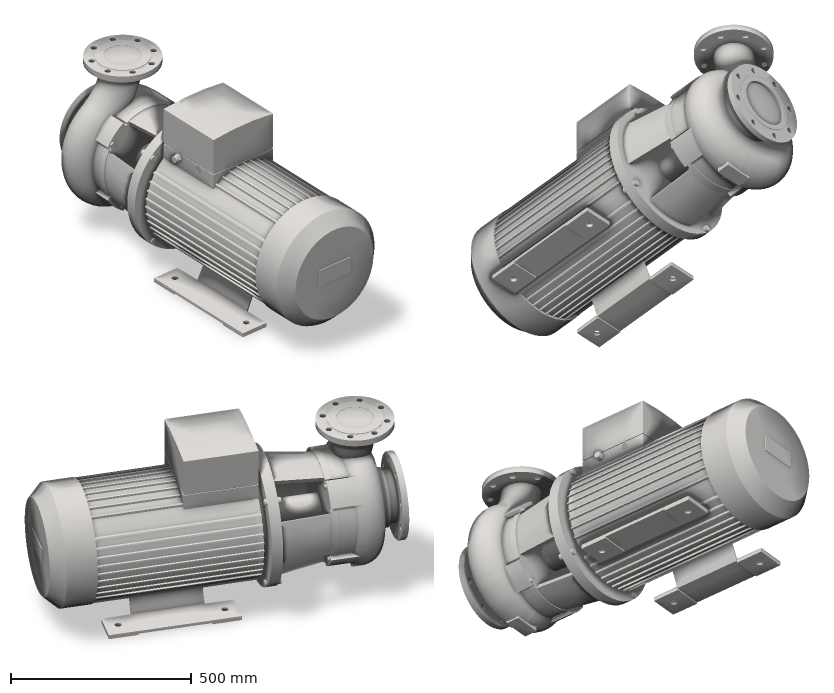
import cadquery as cq
import math


discharge_x = 125.0
stub_start_x = 44.0
ring_start_x = 131.0
cover_start_x = 211.0
cover_end_x = 230.0
bracket_flange_start_x = 381.0
bracket_flange_end_x = 413.0
frame_start_x = 428.0
frame_end_x = 904.0
fan_cover_taper_x = 993.0
fan_cover_end_x = 1032.0
badge_end_x = 1034.0

port_hole_count = 8
port_hole_diameter = 18.0
raised_face_height = 2.0
suction_flange_diameter = 250.0
suction_bolt_circle = 210.0
suction_face_diameter = 169.7
suction_flange_end_x = 20.0
suction_flange_chamfer = 2.0
suction_bore_diameter = 139.7
suction_bore_depth = 8.0
suction_neck_diameter = 149.7
suction_stub_diameter = 169.7
discharge_height = 280.0
discharge_flange_diameter = 220.0
discharge_bolt_circle = 180.0
discharge_face_diameter = 158.0
discharge_flange_thickness = 21.0
discharge_bore_diameter = 107.1
discharge_bore_depth = 1.0

casing_reach = 500.0
tube_radius = 114.3 / 2
outlet_arc_radius = 258.7 / 2
outlet_arc_y = -18.05
tongue_arc_radius = 123.0
tongue_arc_y = -14.0
tongue_arc_z = -6.0
tongue_overlap = 80.0
drain_boss_length = 41.0
drain_boss_width = 82.0
drain_boss_bottom_z = -189.0

ring_gap_radius = 151.0
casing_pad_radius = 155.5
cover_pad_radius = 157.5
pad_half_angle = 28.2
lug_radius = 167.0
lug_half_angle = 14.0

arm_start_radius = 155.0
arm_end_radius = 177.0
arm_thickness = 17.5
arm_half_angle = 25.3
bracket_flange_radius = 200.0
shaft_sleeve_diameter = 80.0

frame_neck_diameter = 276.0
fin_radius = 176.0
core_radius = 170.0
fin_pitch = 24.8
fin_width = 4.0
fins_each_side = 4
fan_cover_radius = 356.0 / 2
fan_cover_end_radius = 141.0
badge_width = 111.0
badge_height = 50.0
badge_z = 6.0

box_length = 214.0
box_width = 216.0
box_bottom_z = 128.5
box_top_z = 298.17
box_crown = 7.0
lid_joint_z = 179.5
lid_joint_height = 4.0
lid_joint_depth = 2.0
gland_diameter = 20.0
gland_x = 493.5
gland_z = 164.0
gland_length = 18.0
gland_nut_diameter = 24.0
gland_nut_length = 10.0
plug_x = 577.5
plug_recess_depth = 2.0

foot_length = 380.0
foot_centre_x = 689.5
foot_outer_y = 203.0
foot_inner_y = 118.0
foot_bottom_z = -200.0
foot_thickness = 13.0
foot_relief_height = 4.0
foot_web_length = 210.0
foot_web_top_y = 93.0
foot_web_top_z = -138.0
foot_web_thickness = 3.0
foot_hole_diameter = 19.0
foot_hole_spacing = 305.0
foot_hole_y = 159.0

cover_screw_y = -127.5
cover_screw_z = 90.5
cover_screw_head_diameter = 13.0
cover_screw_head_height = 6.0
cover_screw_shank_diameter = 8.0
cover_screw_tip_x = 191.0

flange_bolt_offset = 134.5
flange_bolt_diameter = 12.0
flange_bolt_head_diameter = 18.0
flange_bolt_head_height = 9.5
flange_bolt_nut_height = 6.5


def disc(radius, start_x, end_x, y=0.0, z=0.0):
    """Cylinder along X between two stations."""
    return cq.Workplane("YZ", origin=(start_x, y, z)).circle(radius).extrude(end_x - start_x)


def block(x_range, y_range, z_range):
    """Box between two limits on each axis."""
    size = [high - low for low, high in (x_range, y_range, z_range)]
    corner = (x_range[0], y_range[0], z_range[0])
    return cq.Workplane("XY", origin=corner).box(*size, centered=False)


def around_axis(shape):
    """Four copies of a shape turned evenly about the pump axis."""
    return [shape.rotate((0, 0, 0), (1, 0, 0), angle) for angle in (0, 90, 180, 270)]


def sector(radius, half_angle, start_x, end_x):
    """Slice of a disc centred on the +Y direction."""
    reach = 2 * radius
    half_width = reach * math.tan(math.radians(half_angle))
    wedge = (
        cq.Workplane("YZ", origin=(start_x, 0, 0))
        .polyline([(0, 0), (reach, -half_width), (reach, half_width)])
        .close()
        .extrude(end_x - start_x)
    )
    return wedge.intersect(disc(radius, start_x, end_x))


def lugged_ring(pad_radius, start_x, end_x):
    """Disc with four pads in line with the bracket arms and four lugs on the diagonals."""
    ring = disc(ring_gap_radius, start_x, end_x)
    pad = sector(pad_radius, pad_half_angle, start_x, end_x)
    lug = sector(lug_radius, lug_half_angle, start_x, end_x).rotate((0, 0, 0), (1, 0, 0), 45)
    for copy in around_axis(pad) + around_axis(lug):
        ring = ring.union(copy)
    return ring


def y_half(side):
    """Large block on one side of the plane Y = 0 that spans the casing."""
    limits = sorted((0, side * casing_reach))
    return block((0, cover_start_x), limits, (-casing_reach, casing_reach))


def outlet_tube():
    """Volute tube in tangent arcs from below the axis, round the -Y side and up to the discharge."""
    rise = discharge_height
    neck_radius = rise**2 + outlet_arc_y**2 - outlet_arc_radius**2
    neck_radius /= 2 * (outlet_arc_radius - outlet_arc_y)
    neck_y = -neck_radius
    join_angle = math.atan2(rise, neck_y - outlet_arc_y)
    join = (
        outlet_arc_y + outlet_arc_radius * math.cos(join_angle),
        outlet_arc_radius * math.sin(join_angle),
    )
    middle_angle = (join_angle - math.pi) / 2
    neck_middle = (
        neck_y + neck_radius * math.cos(middle_angle),
        rise + neck_radius * math.sin(middle_angle),
    )
    start = (0, -outlet_arc_radius)
    path = (
        cq.Workplane("YZ", origin=(discharge_x, 0, 0))
        .moveTo(*start)
        .lineTo(outlet_arc_y, -outlet_arc_radius)
        .threePointArc((outlet_arc_y - outlet_arc_radius, 0), join)
        .threePointArc(neck_middle, (0, rise))
    )
    profile = cq.Workplane("XZ", origin=(discharge_x, *start)).circle(tube_radius)
    tube = profile.sweep(path)
    flange_middle_z = discharge_height - discharge_flange_thickness / 2
    keep = block((0, cover_start_x), (-casing_reach, casing_reach), (-casing_reach, flange_middle_z))
    return tube.intersect(keep)


def tongue_tube():
    """Tighter volute tube on the +Y side, from below the axis to inside the outlet tube."""
    ring = cq.Workplane("XY").add(
        cq.Solid.makeTorus(
            tongue_arc_radius,
            tube_radius,
            cq.Vector(discharge_x, tongue_arc_y, tongue_arc_z),
            cq.Vector(1, 0, 0),
        )
    )
    overlap = block((0, cover_start_x), (-tongue_overlap, 0), (0, discharge_height))
    return ring.intersect(y_half(1).union(overlap))


def volute_core():
    """Flat-faced filling inside the volute tube's centre line."""
    front_x = discharge_x - tube_radius
    outlet_half = disc(outlet_arc_radius, front_x, cover_start_x, outlet_arc_y)
    tongue_half = disc(tongue_arc_radius, front_x, cover_start_x, tongue_arc_y, tongue_arc_z)
    return outlet_half.intersect(y_half(-1)).union(tongue_half.intersect(y_half(1)))


def suction_port():
    flange = (
        disc(suction_flange_diameter / 2, raised_face_height, suction_flange_end_x)
        .faces(">X")
        .edges()
        .chamfer(suction_flange_chamfer)
        .union(disc(suction_face_diameter / 2, 0, suction_flange_end_x))
        .cut(disc(suction_bore_diameter / 2, 0, suction_bore_depth))
        .cut(
            cq.Workplane("YZ")
            .polarArray(suction_bolt_circle / 2, 180 / port_hole_count, 360, port_hole_count)
            .circle(port_hole_diameter / 2)
            .extrude(suction_flange_end_x)
        )
    )
    neck = disc(suction_neck_diameter / 2, suction_flange_end_x, stub_start_x)
    stub = disc(suction_stub_diameter / 2, stub_start_x, discharge_x)
    return flange.union(neck).union(stub)


def discharge_flange():
    face = cq.Workplane("XY", origin=(discharge_x, 0, discharge_height))
    plate_top = face.workplane(offset=-raised_face_height)
    return (
        plate_top.circle(discharge_flange_diameter / 2)
        .extrude(raised_face_height - discharge_flange_thickness)
        .union(face.circle(discharge_face_diameter / 2).extrude(-discharge_flange_thickness))
        .cut(face.circle(discharge_bore_diameter / 2).extrude(-discharge_bore_depth))
        .cut(
            face.polarArray(discharge_bolt_circle / 2, 180 / port_hole_count, 360, port_hole_count)
            .circle(port_hole_diameter / 2)
            .extrude(-discharge_flange_thickness)
        )
    )


def drain_boss():
    return block(
        (discharge_x - drain_boss_length / 2, discharge_x + drain_boss_length / 2),
        (-drain_boss_width / 2, drain_boss_width / 2),
        (drain_boss_bottom_z, -outlet_arc_radius),
    )


def make_casing():
    return (
        outlet_tube()
        .union(tongue_tube())
        .union(volute_core())
        .union(lugged_ring(casing_pad_radius, ring_start_x, cover_start_x))
        .union(suction_port())
        .union(discharge_flange())
        .union(drain_boss())
    )


def arm_cone(start_radius, end_radius):
    return (
        cq.Workplane("YZ", origin=(cover_end_x, 0, 0))
        .circle(start_radius)
        .workplane(offset=bracket_flange_start_x - cover_end_x)
        .circle(end_radius)
        .loft()
    )


def bracket():
    """Cover, shaft sleeve, four arms cut from a conical shell, and the motor flange."""
    shell = arm_cone(arm_start_radius, arm_end_radius).cut(
        arm_cone(arm_start_radius - arm_thickness, arm_end_radius - arm_thickness)
    )
    arm = shell.intersect(sector(arm_end_radius, arm_half_angle, cover_end_x, bracket_flange_start_x))
    ring = lugged_ring(cover_pad_radius, cover_start_x, cover_end_x)
    sleeve = disc(shaft_sleeve_diameter / 2, cover_end_x, bracket_flange_start_x)
    flange = disc(bracket_flange_radius, bracket_flange_start_x, bracket_flange_end_x)
    body = ring.union(sleeve).union(flange)
    for copy in around_axis(arm):
        body = body.union(copy)
    return body


def motor_frame():
    """Round core with upright fins above and below and level fins on both sides."""
    frame_span = (frame_start_x, frame_end_x)
    full_span = (-fin_radius, fin_radius)
    fins = cq.Workplane("XY")
    for index in range(-fins_each_side, fins_each_side + 1):
        middle = index * fin_pitch
        fin_span = (middle - fin_width / 2, middle + fin_width / 2)
        fins = fins.add(block(frame_span, fin_span, full_span))
        fins = fins.add(block(frame_span, full_span, fin_span))
    fins = fins.combine().intersect(disc(fin_radius, *frame_span))
    neck = disc(frame_neck_diameter / 2, bracket_flange_end_x, frame_start_x)
    return disc(core_radius, *frame_span).union(fins).union(neck)


def fan_cover():
    cover = (
        cq.Workplane("XY")
        .polyline([
            (frame_end_x, 0),
            (frame_end_x, fan_cover_radius),
            (fan_cover_taper_x, fan_cover_radius),
            (fan_cover_end_x, fan_cover_end_radius),
            (fan_cover_end_x, 0),
        ])
        .close()
        .revolve(360, (0, 0, 0), (1, 0, 0))
    )
    badge = block(
        (fan_cover_end_x, badge_end_x),
        (-badge_width / 2, badge_width / 2),
        (badge_z - badge_height / 2, badge_z + badge_height / 2),
    )
    return cover.union(badge)


def terminal_box():
    """Box with an arched lid, a joint groove, a cable gland and a blind plug."""
    half_width = box_width / 2
    side_top_z = box_top_z - box_crown
    box = (
        cq.Workplane("YZ", origin=(frame_start_x, 0, 0))
        .moveTo(-half_width, box_bottom_z)
        .lineTo(half_width, box_bottom_z)
        .lineTo(half_width, side_top_z)
        .threePointArc((0, box_top_z), (-half_width, side_top_z))
        .close()
        .extrude(box_length)
    )
    joint = (
        cq.Workplane("XY", origin=(frame_start_x + box_length / 2, 0, lid_joint_z))
        .rect(box_length, box_width)
        .rect(box_length - 2 * lid_joint_depth, box_width - 2 * lid_joint_depth)
        .extrude(lid_joint_height / 2, both=True)
    )
    side = cq.Workplane("XZ", origin=(0, -half_width, gland_z))
    gland = side.center(gland_x, 0).circle(gland_diameter / 2).extrude(gland_length)
    gland_nut = side.center(gland_x, 0).polygon(6, gland_nut_diameter).extrude(gland_nut_length)
    plug_recess = side.center(plug_x, 0).circle(gland_diameter / 2).extrude(-plug_recess_depth)
    return box.cut(joint).cut(plug_recess).union(gland).union(gland_nut)


def foot():
    """Foot on the +Y side: a plate relieved underneath and a web up to the frame."""
    plate_top_z = foot_bottom_z + foot_thickness
    foot_span = (foot_centre_x - foot_length / 2, foot_centre_x + foot_length / 2)
    web_span = (foot_centre_x - foot_web_length / 2, foot_centre_x + foot_web_length / 2)
    width_span = (foot_inner_y, foot_outer_y)
    plate = block(foot_span, width_span, (foot_bottom_z, plate_top_z))
    relief = block(web_span, width_span, (foot_bottom_z, foot_bottom_z + foot_relief_height))
    holes = (
        cq.Workplane("XY", origin=(foot_centre_x, foot_hole_y, foot_bottom_z))
        .rarray(foot_hole_spacing, 1, 2, 1)
        .circle(foot_hole_diameter / 2)
        .extrude(foot_thickness)
    )
    web = (
        cq.Workplane("YZ", origin=(web_span[0], 0, 0))
        .polyline([
            (foot_inner_y, plate_top_z),
            (foot_web_top_y, foot_web_top_z),
            (foot_web_top_y - foot_web_thickness, foot_web_top_z),
            (foot_inner_y - foot_web_thickness, foot_bottom_z + foot_relief_height),
            (foot_inner_y, foot_bottom_z + foot_relief_height),
        ])
        .close()
        .extrude(foot_web_length)
    )
    return plate.cut(relief).cut(holes).union(web)


def make_drive_unit():
    left_foot = foot()
    return (
        bracket()
        .union(motor_frame())
        .union(fan_cover())
        .union(terminal_box())
        .union(left_foot)
        .union(left_foot.mirror("XZ"))
    )


def cover_screw():
    head_end_x = cover_end_x + cover_screw_head_height
    spot = (cover_screw_y, cover_screw_z)
    shank = disc(cover_screw_shank_diameter / 2, cover_screw_tip_x, cover_end_x, *spot)
    head = disc(cover_screw_head_diameter / 2, cover_end_x, head_end_x, *spot)
    return shank.union(head)


def flange_bolt():
    head_start_x = bracket_flange_start_x - flange_bolt_head_height
    nut_end_x = bracket_flange_end_x + flange_bolt_nut_height
    spot = (flange_bolt_offset, flange_bolt_offset)
    shank = disc(flange_bolt_diameter / 2, head_start_x, nut_end_x, *spot)
    head = disc(flange_bolt_head_diameter / 2, head_start_x, bracket_flange_start_x, *spot)
    nut = disc(flange_bolt_head_diameter / 2, bracket_flange_end_x, nut_end_x, *spot)
    return shank.union(head).union(nut)


cover_screws = around_axis(cover_screw())
flange_bolts = around_axis(flange_bolt())

casing = make_casing()
drive_unit = make_drive_unit()
for screw in cover_screws:
    casing = casing.cut(screw)
    drive_unit = drive_unit.cut(screw)
for bolt in flange_bolts:
    drive_unit = drive_unit.cut(bolt)

fasteners = [fastener.val() for fastener in cover_screws + flange_bolts]
result = cq.Compound.makeCompound([casing.val(), drive_unit.val(), *fasteners])